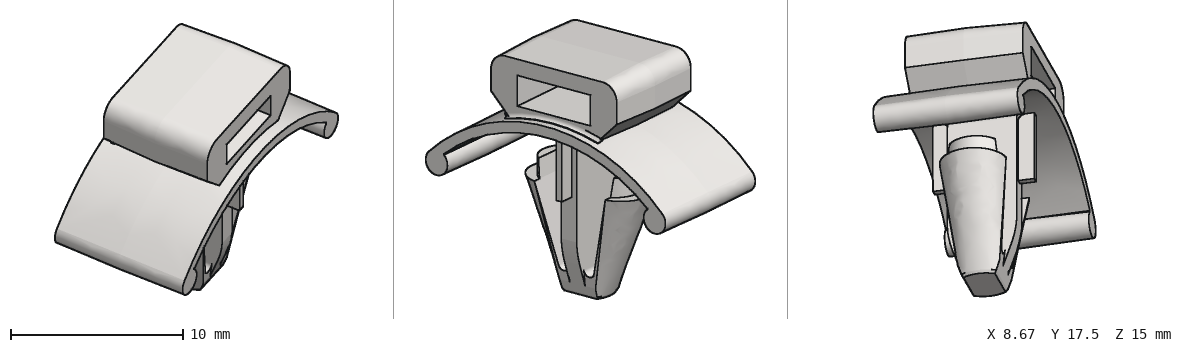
import cadquery as cq
import math


PLATE_LENGTH = 8.67
PLATE_WIDTH = 17.52
PLATE_TOP_Z = 11.55
PLATE_RADIUS = 12.09
PLATE_THICKNESS = 0.77
PLATE_DRAFT = 0.6
BEAD_RADIUS = 0.84
BEAD_Y = PLATE_WIDTH / 2 - BEAD_RADIUS
AXIS_Z = PLATE_TOP_Z - PLATE_RADIUS
INNER_RADIUS = PLATE_RADIUS - PLATE_THICKNESS
MID_RADIUS = PLATE_RADIUS - PLATE_THICKNESS / 2
BEAD_ANGLE = math.asin(BEAD_Y / (PLATE_RADIUS - BEAD_RADIUS))

LOOP_LENGTH = 7.08
LOOP_HALF_WIDTH = 4.7
LOOP_TOP_Z = 14.95
LOOP_CORNER_RADIUS = 1.15
LOOP_SHOULDER_Z = 12.37
LOOP_DRAFT_FRONT = 2.0
LOOP_DRAFT_BACK = 1.0
COLLAR_RADIUS = 0.23

WINDOW_WIDTH = 5.3
WINDOW_HEIGHT = 1.91
WINDOW_Z = 12.86
WINDOW_INSET = 0.2

POST_HALF_THICKNESS = 0.56
POST_HALF_WIDTH = 2.08
POST_BEND_TOP_Z = 3.73
POST_BEND_BOTTOM_Z = 2.25
TIP_HALF_WIDTH = 1.05
TIP_CHAMFER_HEIGHT = 0.18
TIP_CHAMFER_WIDTH = 0.1
TIP_SLOPE = math.tan(math.radians(19.5))
ROOT_RADIUS = 0.37
POST_TOP_Z = PLATE_TOP_Z - PLATE_THICKNESS / 2
ROOT_Z = PLATE_TOP_Z - PLATE_THICKNESS

FIN_HALF_THICKNESS = 0.21
FIN_HALF_WIDTH = 3.05
FIN_BOTTOM_Z = 6.46

BARB_TOP_Z = 6.8
BARB_TOP_SECTION = (2.0, 2.58, 4.24)
BARB_BASE_SECTION = (1.2, 1.2, 1.55)
BARB_TIP_SECTION = (1.09, 1.09, 1.44)
NUB_TOP_Z = 8.0
NUB_RADIUS = 1.72
NUB_CROWN_Y = 3.43
NUB_INNER_Y = 2.73
SLOT_TOP_Y = 2.58
SLOT_RADIUS = 0.37
SLOT_BOTTOM_Z = 1.42


def ring_point(radius, angle):
    """Point (Y, Z) on a circle about the plate axis, angle measured from vertical."""
    return radius * math.sin(angle), AXIS_Z + radius * math.cos(angle)


def drafted(profile, length, front_draft, back_draft):
    """Extrude a YZ profile both ways from its middle plane, narrowing to the ends."""
    front = profile.extrude(-length / 2, taper=front_draft)
    back = profile.toPending().extrude(length / 2, taper=back_draft)
    return front.union(back)


def make_plate():
    outer_end = ring_point(PLATE_RADIUS, BEAD_ANGLE)
    bead_y, bead_z = ring_point(PLATE_RADIUS - BEAD_RADIUS, BEAD_ANGLE)
    bead_distance = PLATE_RADIUS - BEAD_RADIUS
    neck_cosine = (INNER_RADIUS**2 + bead_distance**2 - BEAD_RADIUS**2) / (2 * INNER_RADIUS * bead_distance)
    inner_end = ring_point(INNER_RADIUS, BEAD_ANGLE - math.acos(neck_cosine))
    bead_bottom = (bead_y, bead_z - BEAD_RADIUS)
    profile = (
        cq.Workplane("YZ")
        .moveTo(-outer_end[0], outer_end[1])
        .threePointArc((0, PLATE_TOP_Z), outer_end)
        .threePointArc(bead_bottom, inner_end)
        .threePointArc((0, AXIS_Z + INNER_RADIUS), (-inner_end[0], inner_end[1]))
        .threePointArc((-bead_bottom[0], bead_bottom[1]), (-outer_end[0], outer_end[1]))
        .close()
    )
    return drafted(profile, PLATE_LENGTH, PLATE_DRAFT, PLATE_DRAFT)


def loop_profile():
    corner_y = LOOP_HALF_WIDTH - LOOP_CORNER_RADIUS
    corner_z = LOOP_TOP_Z - LOOP_CORNER_RADIUS
    diagonal = LOOP_CORNER_RADIUS * math.sqrt(0.5)
    side_constant = LOOP_HALF_WIDTH - LOOP_SHOULDER_Z + AXIS_Z
    foot_angle = math.pi / 4 + math.asin(side_constant / (MID_RADIUS * math.sqrt(2)))
    foot_y, foot_z = ring_point(MID_RADIUS, foot_angle)
    return (
        cq.Workplane("YZ")
        .moveTo(-corner_y, LOOP_TOP_Z)
        .lineTo(corner_y, LOOP_TOP_Z)
        .threePointArc((corner_y + diagonal, corner_z + diagonal), (LOOP_HALF_WIDTH, corner_z))
        .lineTo(LOOP_HALF_WIDTH, LOOP_SHOULDER_Z)
        .lineTo(foot_y, foot_z)
        .threePointArc((0, AXIS_Z + MID_RADIUS), (-foot_y, foot_z))
        .lineTo(-LOOP_HALF_WIDTH, LOOP_SHOULDER_Z)
        .lineTo(-LOOP_HALF_WIDTH, corner_z)
        .threePointArc((-corner_y - diagonal, corner_z + diagonal), (-corner_y, LOOP_TOP_Z))
        .close()
    )


def make_collar():
    """Concave fillet at the foot of the loop's -X face, following the plate."""
    face_x = -LOOP_LENGTH / 2
    toe_x = face_x - COLLAR_RADIUS
    top_z = PLATE_TOP_Z + COLLAR_RADIUS
    arc_offset = COLLAR_RADIUS * (1 - math.sqrt(0.5))
    base_z = PLATE_TOP_Z - PLATE_THICKNESS / 2
    sweep = 40
    ring = (
        cq.Workplane("XZ")
        .moveTo(face_x, base_z)
        .lineTo(toe_x, base_z)
        .lineTo(toe_x, PLATE_TOP_Z)
        .threePointArc((face_x - arc_offset, PLATE_TOP_Z + arc_offset), (face_x, top_z))
        .close()
        .revolve(sweep, (0, AXIS_Z, 0), (1, AXIS_Z, 0))
        .rotate((0, 0, AXIS_Z), (1, 0, AXIS_Z), -sweep / 2)
    )
    return ring.intersect(loop_profile().extrude(-PLATE_LENGTH / 2))


def make_window():
    return (
        cq.Workplane("YZ", origin=(-LOOP_LENGTH / 2, 0, WINDOW_Z))
        .rect(WINDOW_WIDTH, WINDOW_HEIGHT)
        .workplane(offset=LOOP_LENGTH)
        .rect(WINDOW_WIDTH - 2 * WINDOW_INSET, WINDOW_HEIGHT - 2 * WINDOW_INSET)
        .loft(ruled=True)
    )


def make_envelope():
    """Outline of the anchor in the XZ plane, thick enough to span both barbs."""
    span = 2 * BARB_TOP_SECTION[2]
    bend_x = TIP_HALF_WIDTH + TIP_SLOPE * (POST_BEND_BOTTOM_Z - TIP_CHAMFER_HEIGHT)
    root_x = POST_HALF_WIDTH + ROOT_RADIUS
    half = (
        cq.Workplane("XZ", origin=(0, span / 2, 0))
        .lineTo(TIP_HALF_WIDTH - TIP_CHAMFER_WIDTH, 0)
        .lineTo(TIP_HALF_WIDTH, TIP_CHAMFER_HEIGHT)
        .lineTo(bend_x, POST_BEND_BOTTOM_Z)
        .tangentArcPoint((POST_HALF_WIDTH, POST_BEND_TOP_Z), relative=False)
        .lineTo(POST_HALF_WIDTH, ROOT_Z - ROOT_RADIUS)
        .tangentArcPoint((root_x, ROOT_Z), relative=False)
        .lineTo(root_x, POST_TOP_Z)
        .lineTo(0, POST_TOP_Z)
        .close()
        .extrude(span)
    )
    return half.union(half.mirror("YZ"))


def make_post():
    root_y = POST_HALF_THICKNESS + ROOT_RADIUS
    half = (
        cq.Workplane("YZ")
        .lineTo(POST_HALF_THICKNESS, 0)
        .lineTo(POST_HALF_THICKNESS, ROOT_Z - ROOT_RADIUS)
        .tangentArcPoint((root_y, ROOT_Z), relative=False)
        .lineTo(root_y, POST_TOP_Z)
        .lineTo(0, POST_TOP_Z)
        .close()
        .extrude(FIN_HALF_WIDTH, both=True)
    )
    return half.union(half.mirror("XZ"))


def make_fin():
    height = POST_TOP_Z - FIN_BOTTOM_Z
    return (
        cq.Workplane("XY", origin=(0, 0, FIN_BOTTOM_Z))
        .rect(2 * FIN_HALF_WIDTH, 2 * FIN_HALF_THICKNESS)
        .extrude(height)
    )


def barb_section(workplane, half_width, edge_y, crown_y):
    return (
        workplane.moveTo(-half_width, 0)
        .lineTo(-half_width, edge_y)
        .threePointArc((0, crown_y), (half_width, edge_y))
        .lineTo(half_width, 0)
        .close()
    )


def make_slot():
    """Gap between post and +Y barb, with a rounded bottom."""
    center_y = POST_HALF_THICKNESS + SLOT_RADIUS
    center_z = SLOT_BOTTOM_Z + SLOT_RADIUS
    rise = BARB_TOP_Z - center_z
    run = SLOT_TOP_Y - center_y
    tangent_angle = math.atan2(rise, run) - math.acos(SLOT_RADIUS / math.hypot(rise, run))
    tangent_y = center_y + SLOT_RADIUS * math.cos(tangent_angle)
    tangent_z = center_z + SLOT_RADIUS * math.sin(tangent_angle)
    return (
        cq.Workplane("YZ")
        .moveTo(POST_HALF_THICKNESS, NUB_TOP_Z)
        .lineTo(POST_HALF_THICKNESS, center_z)
        .threePointArc((center_y, SLOT_BOTTOM_Z), (tangent_y, tangent_z))
        .lineTo(SLOT_TOP_Y, BARB_TOP_Z)
        .lineTo(NUB_INNER_Y, NUB_TOP_Z)
        .close()
        .extrude(FIN_HALF_WIDTH, both=True)
    )


def make_barb():
    """The +Y barb: half-round tapered arm with a narrower nub on its top."""
    tip = barb_section(cq.Workplane("XY"), *BARB_TIP_SECTION)
    chamfer = barb_section(tip.workplane(offset=TIP_CHAMFER_HEIGHT), *BARB_BASE_SECTION).loft(ruled=True)
    base = barb_section(cq.Workplane("XY", origin=(0, 0, TIP_CHAMFER_HEIGHT)), *BARB_BASE_SECTION)
    arm_height = BARB_TOP_Z - TIP_CHAMFER_HEIGHT
    arm = barb_section(base.workplane(offset=arm_height), *BARB_TOP_SECTION).loft(ruled=True)
    nub = (
        cq.Workplane("XY", origin=(0, NUB_CROWN_Y - NUB_RADIUS, BARB_TOP_Z))
        .circle(NUB_RADIUS)
        .extrude(NUB_TOP_Z - BARB_TOP_Z)
    )
    beyond_post = (
        cq.Workplane("XY", origin=(0, NUB_CROWN_Y / 2 + POST_HALF_THICKNESS, 0))
        .rect(2 * FIN_HALF_WIDTH, NUB_CROWN_Y)
        .extrude(NUB_TOP_Z)
    )
    return arm.union(chamfer).union(nub.intersect(beyond_post)).cut(make_slot())


def make_anchor():
    barb = make_barb()
    body = make_post().union(barb).union(barb.mirror("XZ"))
    body = body.intersect(make_envelope())
    return body.union(make_fin())


loop = drafted(loop_profile(), LOOP_LENGTH, LOOP_DRAFT_FRONT, LOOP_DRAFT_BACK)
head = loop.cut(make_window()).union(make_collar())
result = make_plate().union(head).union(make_anchor())